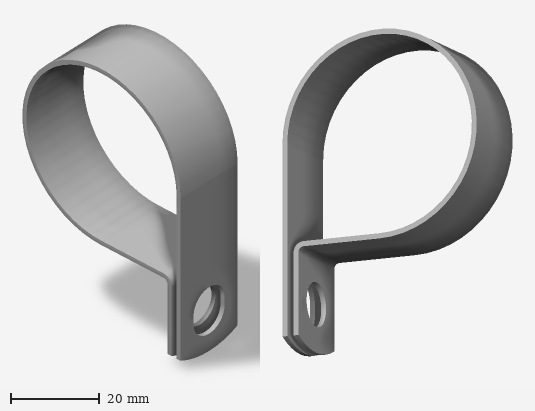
import cadquery as cq
import math

outer_radius = 24.2
thickness = 1.2
width = 19.05
height = 71.05
inner_radius = outer_radius - thickness

leg_gap = 1.55
bend_outer_radius = 2.5
bend_inner_radius = bend_outer_radius - thickness
hole_diameter = 10.3
slot_length = 12.8
hole_height = 11.15
tip_sagitta = 2.2

bottom_z = outer_radius - height
short_leg_outer_x = inner_radius - leg_gap
short_leg_inner_x = short_leg_outer_x - thickness
bend_x = short_leg_outer_x - bend_outer_radius
bend_z = -inner_radius - bend_outer_radius
diagonal = math.sqrt(0.5)


def arc_middle(radius):
    """Point halfway round the 90 degree bend between shelf and short leg."""
    return (bend_x + radius * diagonal, bend_z + radius * diagonal)


def strap():
    """Bent strip: long leg, three-quarter loop, flat shelf and short leg."""
    return (
        cq.Workplane("XZ")
        .moveTo(outer_radius, bottom_z)
        .lineTo(outer_radius, 0)
        .threePointArc((-outer_radius * diagonal, outer_radius * diagonal), (0, -outer_radius))
        .lineTo(bend_x, -outer_radius)
        .threePointArc(arc_middle(bend_inner_radius), (short_leg_inner_x, bend_z))
        .lineTo(short_leg_inner_x, bottom_z)
        .lineTo(short_leg_outer_x, bottom_z)
        .lineTo(short_leg_outer_x, bend_z)
        .threePointArc(arc_middle(bend_outer_radius), (bend_x, -inner_radius))
        .lineTo(0, -inner_radius)
        .threePointArc((-inner_radius * diagonal, inner_radius * diagonal), (inner_radius, 0))
        .lineTo(inner_radius, bottom_z)
        .close()
        .extrude(width / 2, both=True)
    )


def side_outline():
    """Block spanning the whole strap, with the rounded leg tips as its lower edge."""
    half_width = width / 2
    corner_z = bottom_z + tip_sagitta
    return (
        cq.Workplane("YZ")
        .moveTo(-half_width, outer_radius)
        .lineTo(-half_width, corner_z)
        .threePointArc((0, bottom_z), (half_width, corner_z))
        .lineTo(half_width, outer_radius)
        .close()
        .extrude(outer_radius, both=True)
    )


def leg_plane(inner_x):
    """Workplane on a leg's -X face, centred on the fastener."""
    return cq.Workplane("YZ", origin=(inner_x, 0, bottom_z + hole_height))


def short_leg_hole():
    """Round hole through the short leg."""
    return leg_plane(short_leg_inner_x).circle(hole_diameter / 2).extrude(thickness)


def long_leg_slot():
    """Upright slot through the long leg, as wide as the round hole."""
    return leg_plane(inner_radius).slot2D(slot_length, hole_diameter, 90).extrude(thickness)


blank = strap().intersect(side_outline())
result = blank.cut(short_leg_hole()).cut(long_leg_slot())